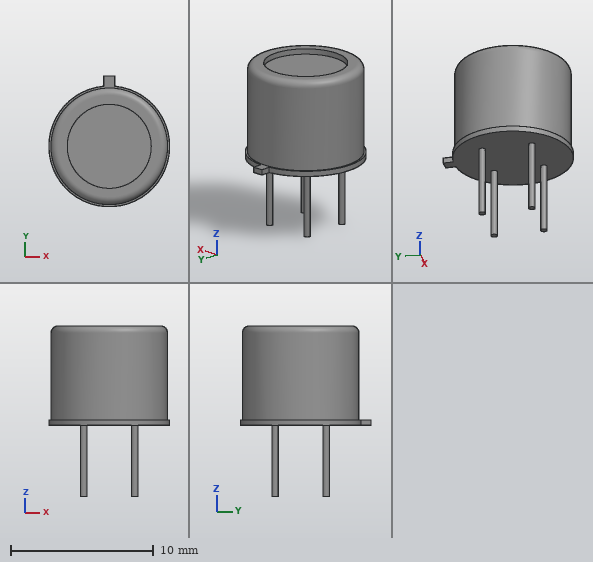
import cadquery as cq

total_height = 12.0
lead_length = 5.0
flange_thickness = 0.4
flange_diameter = 8.5

can_diameter = 8.2
can_edge_radius = 0.5
can_height = total_height - lead_length - flange_thickness

recess_diameter = 5.9
recess_depth = 0.4

tab_width = 0.8
depth_over_tab = 9.2
tab_tip_y = depth_over_tab - flange_diameter / 2

lead_diameter = 0.47
lead_pitch_circle = 5.08
lead_count = 4
lead_start_angle = 45.0


def make_flange():
    """Thin disc with the index tab reaching out from its centre along +Y."""
    disc = cq.Workplane("XY").circle(flange_diameter / 2).extrude(flange_thickness)
    tab = cq.Workplane("XY").box(tab_width, tab_tip_y, flange_thickness, centered=(True, False, False))
    return disc.union(tab)


def make_can():
    """Cylinder with a rounded top edge and a shallow round recess in its top."""
    can = (
        cq.Workplane("XY", origin=(0, 0, flange_thickness))
        .circle(can_diameter / 2)
        .extrude(can_height)
        .faces(">Z")
        .edges()
        .fillet(can_edge_radius)
    )
    return can.faces(">Z").workplane().circle(recess_diameter / 2).cutBlind(-recess_depth)


def make_leads():
    """Straight round leads hanging below the flange."""
    return (
        cq.Workplane("XY")
        .polarArray(lead_pitch_circle / 2, lead_start_angle, 360, lead_count)
        .circle(lead_diameter / 2)
        .extrude(-lead_length)
    )


result = make_flange().union(make_can()).union(make_leads())